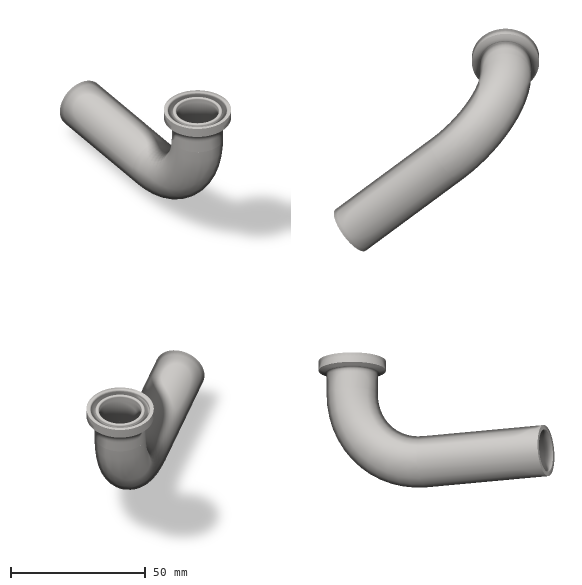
import cadquery as cq

tube_diameter = 19.1
bore_diameter = 15.8
straight_length = 47.6
bend_radius = 28.6

flange_diameter = 25.0
ferrule_height = 12.7
flange_thickness = 3.6
cone_height = 1.1
cone_end_radius = 10.0
root_drop = 0.4

groove_outer_radius = 11.4
outer_wall_radius = 10.9
inner_wall_radius = 9.2
lip_edge_radius = 8.7
rim_edge_drop = 0.4
wall_foot_drop = 1.0
lip_drop = 0.4
bore_edge_round = 0.4

tube_radius = tube_diameter / 2
bore_radius = bore_diameter / 2
flange_radius = flange_diameter / 2
ferrule_axis_x = straight_length + bend_radius


def swept_elbow(diameter):
    """Solid round bar along the straight run and the quarter bend."""
    straight = cq.Workplane("YZ").circle(diameter / 2).extrude(straight_length)
    bend = (
        cq.Workplane("YZ", origin=(straight_length, 0, 0))
        .circle(diameter / 2)
        .revolve(90, (0.9, bend_radius, 0), (-0.9, bend_radius, 0))
    )
    return straight.union(bend)


def make_elbow():
    """Hollow tube: a straight run along X that bends up to +Z."""
    return swept_elbow(tube_diameter).cut(swept_elbow(bore_diameter))


def make_ferrule():
    """Clamp ferrule turned about the vertical axis at the end of the bend."""
    top = ferrule_height
    flange_bottom = top - flange_thickness
    cone_bottom = flange_bottom - cone_height
    lip_face = top - lip_drop

    profile = (
        cq.Workplane("XZ")
        .moveTo(bore_radius, 0)
        .lineTo(tube_radius, 0)
        .lineTo(tube_radius, cone_bottom - root_drop)
        .tangentArcPoint((cone_end_radius, cone_bottom), relative=False)
        .lineTo(flange_radius, flange_bottom)
        .lineTo(flange_radius, top)
        .lineTo(groove_outer_radius, top)
        .tangentArcPoint((outer_wall_radius, top - rim_edge_drop), relative=False)
        .lineTo(outer_wall_radius, top - wall_foot_drop)
        .tangentArcPoint((inner_wall_radius, top - wall_foot_drop), relative=False)
        .tangentArcPoint((lip_edge_radius, lip_face), relative=False)
        .lineTo(bore_radius + bore_edge_round, lip_face)
        .tangentArcPoint((bore_radius, lip_face - bore_edge_round), relative=False)
        .close()
    )
    turned = profile.revolve(360, (0, 0, 0), (0, 1, 0))
    return turned.translate((ferrule_axis_x, 0, bend_radius))


elbow = make_elbow()
ferrule = make_ferrule()

result = cq.Compound.makeCompound([elbow.val(), ferrule.val()])